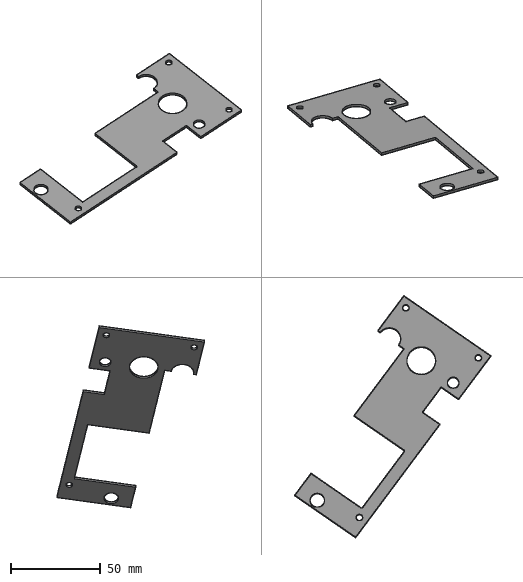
import cadquery as cq

width = 60.0
length = 130.0
thickness = 1.6

head_bottom_y = 105.0
body_left_x = 18.0
side_notch_depth = 12.0
side_notch_bottom_y = 81.0
side_notch_height = 18.0
window_bottom_y = 15.7
window_height = 41.3
rail_width = 7.0

edge_notch_x = 8.0
edge_notch_diameter = 12.6

screw_hole_diameter = 3.6
screw_hole_inset = 5.0
lower_screw_hole_y = 10.6
main_hole_diameter = 16.0
small_hole_diameter = 6.4
small_hole_inset = 8.0
foot_hole_diameter = 8.0
foot_hole_y = 5.0
hole_column_x = width / 2
hole_row_y = head_bottom_y


def plate_blank():
    """Extrude the stepped outline, including its rectangular cutouts."""
    notch_x = width - side_notch_depth
    rail_x = width - rail_width
    side_notch_top_y = side_notch_bottom_y + side_notch_height
    window_top_y = window_bottom_y + window_height
    outline = [
        (body_left_x, 0),
        (width, 0),
        (width, side_notch_bottom_y),
        (notch_x, side_notch_bottom_y),
        (notch_x, side_notch_top_y),
        (width, side_notch_top_y),
        (width, length),
        (0, length),
        (0, head_bottom_y),
        (body_left_x, head_bottom_y),
        (body_left_x, window_top_y),
        (rail_x, window_top_y),
        (rail_x, window_bottom_y),
        (body_left_x, window_bottom_y),
    ]
    return cq.Workplane("XY").polyline(outline).close().extrude(thickness)


def round_cutters(diameter, centers):
    """Cylinders through the full plate thickness at the given centers."""
    return cq.Workplane("XY").pushPoints(centers).circle(diameter / 2).extrude(thickness)


screw_hole_centers = [
    (screw_hole_inset, length - screw_hole_inset),
    (width - screw_hole_inset, length - screw_hole_inset),
    (width - screw_hole_inset, lower_screw_hole_y),
]

round_cuts = [
    (edge_notch_diameter, [(edge_notch_x, head_bottom_y)]),
    (screw_hole_diameter, screw_hole_centers),
    (main_hole_diameter, [(hole_column_x, hole_row_y)]),
    (small_hole_diameter, [(width - small_hole_inset, hole_row_y)]),
    (foot_hole_diameter, [(hole_column_x, foot_hole_y)]),
]

result = plate_blank()
for cut_diameter, cut_centers in round_cuts:
    result = result.cut(round_cutters(cut_diameter, cut_centers))